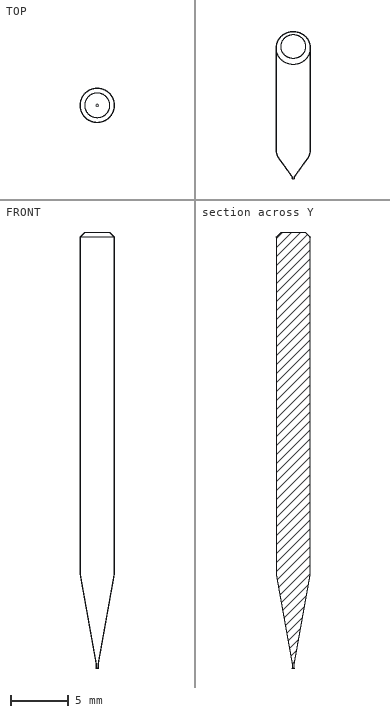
import cadquery as cq

total_length = 38.0
shank_diameter = 3.0
taper_start = 8.25

chamfer_height = 0.4
chamfer_width = 0.4

tip_diameter = 0.2
tip_length = 0.4

shank_radius = shank_diameter / 2
tip_radius = tip_diameter / 2

profile = (
    cq.Workplane("XZ")
    .moveTo(0, 0)
    .lineTo(tip_radius, 0)
    .lineTo(tip_radius, tip_length)
    .lineTo(shank_radius, taper_start)
    .lineTo(shank_radius, total_length - chamfer_height)
    .lineTo(shank_radius - chamfer_width, total_length)
    .lineTo(0, total_length)
    .close()
)

result = profile.revolve(360, (0, 0, 0), (0, 1, 0))